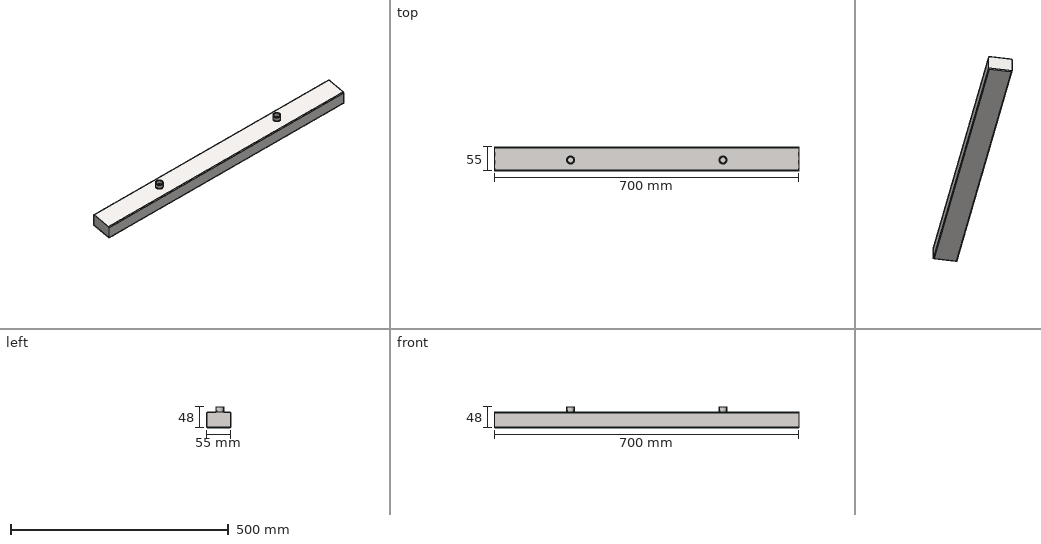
import cadquery as cq

bar_length = 700.0
bar_width = 55.0
bar_height = 36.5
edge_chamfer = 2.0

overall_height = 48.0
sleeve_height = overall_height - bar_height
sleeve_diameter = 18.0
sleeve_bore = 14.0
sleeve_spacing = bar_length / 2
sleeve_offset_y = -2.5


def make_bar():
    """Block chamfered along its two long top edges and all around its bottom face."""
    block = cq.Workplane("XY").box(bar_length, bar_width, bar_height, centered=(True, True, False))
    block = block.edges("|X and >Z").chamfer(edge_chamfer)
    return block.faces("<Z").edges().chamfer(edge_chamfer)


def make_sleeve(x):
    """Tube resting on the top face of the bar at the given X position."""
    return (
        cq.Workplane("XY", origin=(x, sleeve_offset_y, bar_height))
        .circle(sleeve_diameter / 2)
        .circle(sleeve_bore / 2)
        .extrude(sleeve_height)
    )


bar = make_bar()
sleeves = [make_sleeve(side * sleeve_spacing / 2) for side in (-1, 1)]

result = cq.Compound.makeCompound([bar.solids().val(), *[sleeve.val() for sleeve in sleeves]])